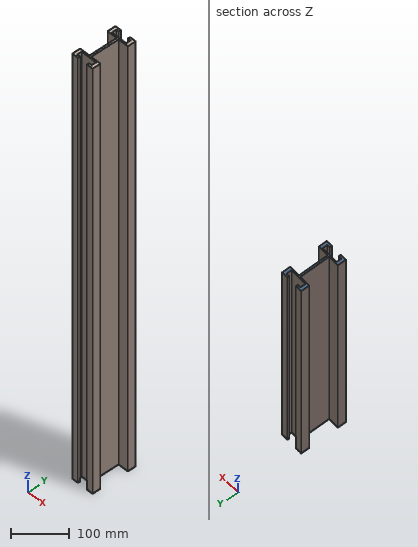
import cadquery as cq

width = 51.0
depth = 100.0
length = 1000.0

channel_depth = 18.3
back_thickness = 3.2
wall_thickness = 7.5
lip_thickness = 4.8
mouth_width = 22.6
web_thickness = 4.7

cavity_width = width - 2 * wall_thickness
cavity_depth = channel_depth - back_thickness - lip_thickness
web_span = depth - 2 * channel_depth


def bar(size_x, size_y, y_inner, side):
    """Full-length bar centred on X, running outward in Y from y_inner on the given side (+1 or -1)."""
    y_center = side * (y_inner + size_y / 2)
    return cq.Workplane("XY").box(size_x, size_y, length).translate((0, y_center, 0))


def channel(side):
    """C-channel whose lipped mouth opens outward along Y on the given side (+1 or -1)."""
    back_face = web_span / 2
    cavity_floor = back_face + back_thickness
    lip_underside = cavity_floor + cavity_depth
    block = bar(width, channel_depth, back_face, side)
    cavity = bar(cavity_width, cavity_depth, cavity_floor, side)
    mouth = bar(mouth_width, lip_thickness, lip_underside, side)
    return block.cut(cavity).cut(mouth)


result = cq.Workplane("XY").box(web_thickness, web_span, length)
for side in (1, -1):
    result = result.union(channel(side))